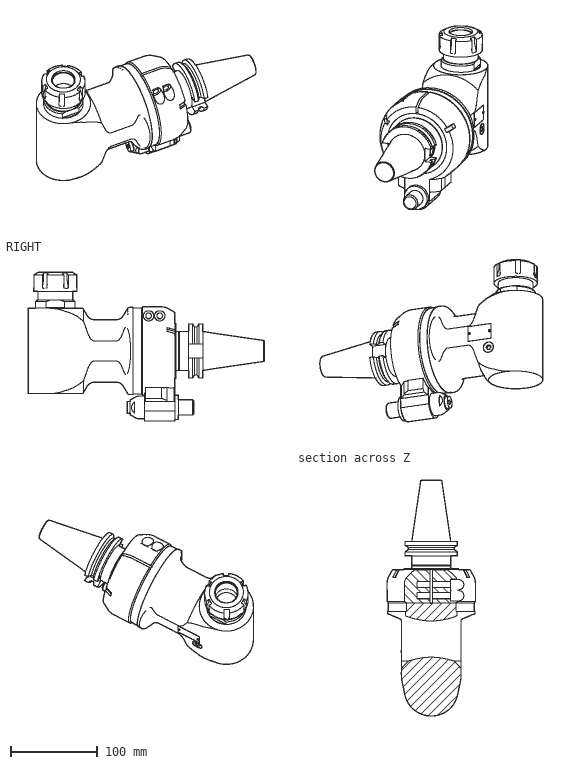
import cadquery as cq
import math

EPS = 0.3

taper_end_y = 240.5
taper_base_y = 171.7
flange_back_y = 169.8
flange_front_y = 153.3
lip_back_y = 138.5
ring_back_y = 137.5
ring_front_y = 99.0
neck_back_y = 75.5
neck_front_y = 39.5

taper_slope = 7 / 48
taper_base_radius = 22.3
shank_chamfer = 0.8
flange_radius = 31.3
vee_radius = 27.7
vee_edges = (165.2, 158.0)
vee_floor = (163.0, 160.3)
hub_radius = 22.5
hub_relief_radius = 22.0
hub_relief = (143.0, 141.5)
lip_radius = 31.5
key_slot_width = 16.0
key_floor_x = 22.5

ring_radius = 50.95
ring_back_radius = 44.5
ring_cone_radius = 49.7
ring_cone_y = 128.3
ring_round_y = 122.3
ring_round_bulge = 0.3
ring_front_chamfer = 1.5
ring_bore_radius = 36.7
slit_width = 2.7
clamp_screw_y = (120.0, 107.3)
clamp_screw_z = 40.5
clamp_head_diameter = 12.0
clamp_hole_diameter = 6.5
clamp_seat_x = 22.3
clamp_hole_end_x = -16.3
spanner_angles = (30, 150)
spanner_width = 5.0
spanner_depth = 3.8

pad_half_width = 28.8
pad_back_half_width = 13.9
pad_waist_half_width = 26.5
pad_bottom_z = -58.0
pad_chamfer = 3.3
pad_front_y = 103.5
boss_radius = 15.8
boss_half_width = 15.2
boss_front_y = 102.5
pin_z = -65.0

pin_core_radius = 9.0
pin_rear_y = 159.5
pin_rear_chamfer = 1.5
pin_collar_radius = 14.0
pin_collar_y = 141.5
pin_head_radius = 13.18
pin_head_y = 95.5
pin_shoulder_y = 93.0
pin_shoulder_radius = 12.5
pin_cone_y = 86.1
pin_cone_radius = 8.7
pin_tip_radius = 6.93
pin_tip_y = 82.5
pin_socket = 5.0
pin_socket_depth = 4.0
pin_flat_x = 9.5
pin_flat_y = 91.0

housing_flange_radius = 49.7
housing_rim_radius = 50.4
housing_rim_y = 89.5
rim_round = 3.3
neck_radius = 36.1
neck_fillet = 9.0
cone_angle = 60
half_height = 49.2
nose_radius = 31.3
sphere_radius = 58.2
shoulder_end_y = -8.2
flat_x = 34.2
flat_end_y = 11.28
side_relief_start_y = 80.0
side_relief_fillet = 3.3
side_relief_slope = 2.4

plate_y = (16.17, 44.8)
plate_z = (-7.0, 11.0)
plate_height = 0.3
rivet_y = (17.7, 43.2)
rivet_z = 2.2
rivet_diameter = 2.5
rivet_height = 0.8
plug_y = 19.5
plug_z = -17.5
plug_diameter = 12.5
plug_depth = 0.5
plug_socket = 6.0
plug_socket_depth = 3.3

collar_radius = 22.8
collar_top_z = 58.5
collar_chamfer = 1.5
collar_lip = 1.0
collar_flat_x = 20.25
spindle_radius = 20.0
nut_radius = 25.0
nut_bottom_z = 68.5
nut_top_z = 90.8
nut_top_radius = 19.5
nut_shoulder_z = 87.5
nut_bore_radius = 13.45
collet_bore_radius = 12.5
collet_top_z = 88.0
collet_floor_z = 59.8
nut_slots = 6
slot_width = 6.0
slot_bottom_z = 72.0
slot_ramp_z = 83.2
slot_floor_radius = 21.5


def turned(points):
    """Solid turned about the Y axis from a closed (radius, y) outline."""
    return cq.Workplane("XY").polyline(points).close().revolve(360, (0, 0), (0, 1))


def box_between(x, y, z):
    """Box spanning the given (low, high) ranges."""
    size = [b - a for a, b in (x, y, z)]
    return cq.Workplane("XY").box(*size, centered=False).translate((x[0], y[0], z[0]))


def make_shank():
    tip_radius = taper_base_radius - taper_slope * (taper_end_y - taper_base_y)
    body = turned([
        (0, taper_end_y),
        (tip_radius - shank_chamfer, taper_end_y),
        (tip_radius, taper_end_y - shank_chamfer),
        (taper_base_radius, taper_base_y),
        (taper_base_radius, flange_back_y),
        (flange_radius, flange_back_y),
        (flange_radius, vee_edges[0]),
        (vee_radius, vee_floor[0]),
        (vee_radius, vee_floor[1]),
        (flange_radius, vee_edges[1]),
        (flange_radius, flange_front_y),
        (hub_radius, flange_front_y),
        (hub_radius, hub_relief[0]),
        (hub_relief_radius, hub_relief[0]),
        (hub_relief_radius, hub_relief[1]),
        (hub_radius, hub_relief[1]),
        (hub_radius, lip_back_y),
        (lip_radius, lip_back_y),
        (lip_radius, ring_back_y),
        (0, ring_back_y),
    ])
    for side in (-1, 1):
        x = sorted((side * key_floor_x, side * (flange_radius + EPS)))
        half = key_slot_width / 2
        body = body.cut(box_between(x, (flange_front_y, flange_back_y), (-half, half)))
    return body


def bracket():
    """Pad and pin boss that hang from the clamp ring."""
    pad_outline = [(pad_back_half_width, ring_back_y), (pad_waist_half_width, ring_cone_y),
                   (pad_half_width, ring_round_y), (pad_half_width, pad_front_y)]
    mirrored = [(-x, y) for x, y in reversed(pad_outline)]
    plan = cq.Workplane("XY").polyline(pad_outline + mirrored).close().extrude(pad_bottom_z)
    c = pad_chamfer
    w = pad_half_width
    section = (
        cq.Workplane("XZ").polyline([(-w, 0), (w, 0), (w, pad_bottom_z + c), (w - c, pad_bottom_z),
                                     (c - w, pad_bottom_z), (-w, pad_bottom_z + c)])
        .close().extrude(-ring_back_y)
    )
    boss_y = (boss_front_y, ring_back_y)
    boss_length = ring_back_y - boss_front_y
    boss = cq.Workplane("XZ", origin=(0, ring_back_y, pin_z)).circle(boss_radius).extrude(boss_length)
    boss = boss.union(box_between((-boss_radius, boss_radius), boss_y, (pin_z, pad_bottom_z)))
    boss = boss.union(box_between((-boss_half_width, boss_half_width), boss_y, (pin_z, -ring_bore_radius)))
    sides = box_between((-boss_half_width, boss_half_width), boss_y, (pin_z - boss_radius, 0))
    return plan.intersect(section).union(boss.intersect(sides))


def make_clamp_ring():
    mid_y = (ring_cone_y + ring_round_y) / 2
    bulge = (ring_cone_radius + ring_radius) / 2 + ring_round_bulge
    body = (
        cq.Workplane("XY").moveTo(0, ring_back_y).lineTo(ring_back_radius, ring_back_y)
        .lineTo(ring_cone_radius, ring_cone_y)
        .threePointArc((bulge, mid_y), (ring_radius, ring_round_y))
        .lineTo(ring_radius, ring_front_y + ring_front_chamfer)
        .lineTo(ring_radius - ring_front_chamfer, ring_front_y)
        .lineTo(0, ring_front_y).close().revolve(360, (0, 0), (0, 1))
    )
    body = body.union(bracket())
    full_y = (ring_front_y - EPS, ring_back_y + EPS)
    bore = cq.Workplane("XZ", origin=(0, full_y[1], 0)).circle(ring_bore_radius).extrude(full_y[1] - full_y[0])
    slit = box_between((-slit_width / 2, slit_width / 2), full_y, (0, ring_radius + EPS))
    body = body.cut(bore).cut(slit)
    for y in clamp_screw_y:
        seat = cq.Workplane("YZ", origin=(clamp_seat_x, y, clamp_screw_z))
        body = body.cut(seat.circle(clamp_head_diameter / 2).extrude(ring_radius))
        body = body.cut(seat.circle(clamp_hole_diameter / 2).extrude(clamp_hole_end_x - clamp_seat_x))
    notch = (
        cq.Workplane("XY").polyline([(ring_back_radius - spanner_depth, ring_back_y),
                                     (ring_cone_radius - spanner_depth, ring_cone_y),
                                     (ring_radius, ring_cone_y), (ring_radius, ring_back_y)])
        .close().extrude(spanner_width / 2, both=True)
    )
    for angle in spanner_angles:
        body = body.cut(notch.rotate((0, 0, 0), (0, 1, 0), -angle))
    pin_hole = cq.Workplane("XZ", origin=(0, full_y[1], pin_z)).circle(pin_core_radius).extrude(ring_back_y)
    return body.cut(pin_hole)


def make_stop_pin():
    pin = turned([
        (0, pin_rear_y),
        (pin_core_radius - pin_rear_chamfer, pin_rear_y),
        (pin_core_radius, pin_rear_y - pin_rear_chamfer),
        (pin_core_radius, pin_collar_y),
        (pin_collar_radius, pin_collar_y),
        (pin_collar_radius, ring_back_y),
        (pin_core_radius, ring_back_y),
        (pin_core_radius, boss_front_y),
        (pin_head_radius, boss_front_y),
        (pin_head_radius, pin_head_y),
        (pin_shoulder_radius, pin_shoulder_y),
        (pin_cone_radius, pin_cone_y),
        (pin_tip_radius, pin_cone_y),
        (pin_tip_radius, pin_tip_y),
        (0, pin_tip_y),
    ])
    socket = cq.Workplane("XZ", origin=(0, pin_tip_y, 0)).polygon(6, pin_socket).extrude(-pin_socket_depth)
    pin = pin.cut(socket)
    for side in (-1, 1):
        x = sorted((side * pin_flat_x, side * (pin_head_radius + EPS)))
        pin = pin.cut(box_between(x, (pin_cone_y, pin_flat_y), (-pin_head_radius, pin_head_radius)))
    return pin.translate((0, 0, pin_z))


def housing_blank():
    """Hub, flange, waisted neck and spherical shoulder turned about the main axis."""
    full = math.radians(cone_angle)
    half = full / 2
    slope = math.tan(full)
    setback = neck_fillet * math.tan(half)
    along = setback * math.cos(full)
    out = setback * math.sin(full)
    sag_y = neck_fillet * math.sin(half)
    sag_r = neck_fillet * (1 - math.cos(half))
    back_flat_y = neck_back_y - setback
    front_flat_y = neck_front_y + setback
    a = neck_radius + slope * neck_front_y
    shoulder_y = (a * slope - math.sqrt(sphere_radius ** 2 * (1 + slope ** 2) - a ** 2)) / (1 + slope ** 2)
    shoulder_r = a - slope * shoulder_y
    shoulder_end = (math.sqrt(sphere_radius ** 2 - shoulder_end_y ** 2), shoulder_end_y)
    rim_setback = rim_round * math.tan(half)
    corner_y = neck_back_y + (housing_rim_radius - neck_radius) / slope
    rim_y = corner_y + rim_setback
    rim_mid = (housing_rim_radius - rim_round * (1 - math.cos(half)), rim_y - rim_round * math.sin(half))
    rim_end = (housing_rim_radius - rim_setback * math.sin(full), corner_y - rim_setback * math.cos(full))
    return (
        cq.Workplane("XY").moveTo(0, ring_back_y).lineTo(ring_bore_radius, ring_back_y)
        .lineTo(ring_bore_radius, ring_front_y).lineTo(housing_flange_radius, ring_front_y)
        .lineTo(housing_flange_radius, housing_rim_y).lineTo(housing_rim_radius, housing_rim_y)
        .lineTo(housing_rim_radius, rim_y)
        .threePointArc(rim_mid, rim_end)
        .lineTo(neck_radius + out, neck_back_y + along)
        .threePointArc((neck_radius + sag_r, back_flat_y + sag_y), (neck_radius, back_flat_y))
        .lineTo(neck_radius, front_flat_y)
        .threePointArc((neck_radius + sag_r, front_flat_y - sag_y), (neck_radius + out, neck_front_y - along))
        .lineTo(shoulder_r, shoulder_y)
        .threePointArc((sphere_radius, 0), shoulder_end).lineTo(0, shoulder_end[1])
        .close().revolve(360, (0, 0), (0, 1))
    )


def make_housing():
    body = housing_blank()
    corner_angle = math.atan2(flat_end_y, flat_x)
    tangent_angle = corner_angle - math.acos(nose_radius / math.hypot(flat_x, flat_end_y))
    tangent = (nose_radius * math.cos(tangent_angle), nose_radius * math.sin(tangent_angle))
    relief_rise = (ring_radius - flat_x) / side_relief_slope
    plan = (
        cq.Workplane("XY").moveTo(flat_x, side_relief_start_y)
        .lineTo(flat_x, flat_end_y).lineTo(*tangent)
        .threePointArc((0, -nose_radius), (-tangent[0], tangent[1]))
        .lineTo(-flat_x, flat_end_y).lineTo(-flat_x, side_relief_start_y)
        .lineTo(-ring_radius, side_relief_start_y + relief_rise).lineTo(-ring_radius, ring_back_y)
        .lineTo(ring_radius, ring_back_y).lineTo(ring_radius, side_relief_start_y + relief_rise)
        .close().extrude(ring_radius, both=True)
    )
    corners = [cq.selectors.BoxSelector((x - EPS, side_relief_start_y - EPS, -EPS),
                                        (x + EPS, side_relief_start_y + EPS, EPS)) for x in (-flat_x, flat_x)]
    plan = plan.edges(corners[0] + corners[1]).fillet(side_relief_fillet)
    body = body.intersect(plan)
    wide = (-ring_radius, ring_radius)
    ahead = (-nose_radius - EPS, nose_radius)
    for z in ((half_height, 2 * half_height), (-2 * half_height, -half_height)):
        body = body.cut(box_between(wide, ahead, z))
    nose = cq.Workplane("XY", origin=(0, 0, -half_height)).circle(nose_radius).extrude(2 * half_height)
    body = body.union(nose)
    return add_side_details(body)


def add_side_details(body):
    """Name plate with two rivets, and a screw plug, on the -X flat."""
    body = body.union(box_between((-flat_x - plate_height, -flat_x), plate_y, plate_z))
    for y in rivet_y:
        rivet = cq.Workplane("YZ", origin=(-flat_x, y, rivet_z)).circle(rivet_diameter / 2)
        body = body.union(rivet.extrude(-rivet_height))
    plug = cq.Workplane("YZ", origin=(-flat_x, plug_y, plug_z))
    body = body.cut(plug.circle(plug_diameter / 2).extrude(plug_depth))
    return body.cut(plug.polygon(6, plug_socket).extrude(plug_socket_depth))


def make_spindle():
    """Wrench collar, neck and bored collet on the tool axis."""
    base = cq.Workplane("XY", origin=(0, 0, half_height))
    collar = base.circle(collar_radius).extrude(collar_top_z - half_height)
    collar = collar.faces(">Z").chamfer(collar_chamfer)
    for side in (-1, 1):
        x = sorted((side * collar_flat_x, side * (collar_radius + EPS)))
        flat = box_between(x, (-collar_radius, collar_radius), (half_height + collar_lip, collar_top_z + EPS))
        collar = collar.cut(flat)
    neck = cq.Workplane("XY", origin=(0, 0, half_height)).circle(spindle_radius).extrude(nut_bottom_z - half_height)
    collet = cq.Workplane("XY", origin=(0, 0, half_height)).circle(nut_bore_radius)
    collet = collet.extrude(collet_top_z - half_height)
    bore = cq.Workplane("XY", origin=(0, 0, collet_floor_z)).circle(collet_bore_radius)
    return collar.union(neck).union(collet).cut(bore.extrude(nut_top_z - collet_floor_z))


def make_nut():
    nut = cq.Workplane("XZ").polyline([
        (nut_bore_radius, nut_bottom_z),
        (nut_radius, nut_bottom_z),
        (nut_radius, nut_shoulder_z),
        (nut_top_radius, nut_top_z),
        (nut_bore_radius, nut_top_z),
    ]).close().revolve(360, (0, 0), (0, 1))
    slot = (
        cq.Workplane("XZ").polyline([
            (slot_floor_radius, nut_top_z + EPS),
            (slot_floor_radius, slot_ramp_z),
            (nut_radius, slot_bottom_z),
            (nut_radius + EPS, slot_bottom_z),
            (nut_radius + EPS, nut_top_z + EPS),
        ]).close().extrude(slot_width / 2, both=True)
    )
    for i in range(nut_slots):
        nut = nut.cut(slot.rotate((0, 0, 0), (0, 0, 1), 90 + i * 360 / nut_slots))
    return nut


shank = make_shank()
clamp_ring = make_clamp_ring()
housing = make_housing()
stop_pin = make_stop_pin()
spindle = make_spindle()
nut = make_nut()

result = cq.Compound.makeCompound([
    *shank.solids().vals(),
    *clamp_ring.solids().vals(),
    *housing.solids().vals(),
    *stop_pin.solids().vals(),
    *spindle.solids().vals(),
    *nut.solids().vals(),
])